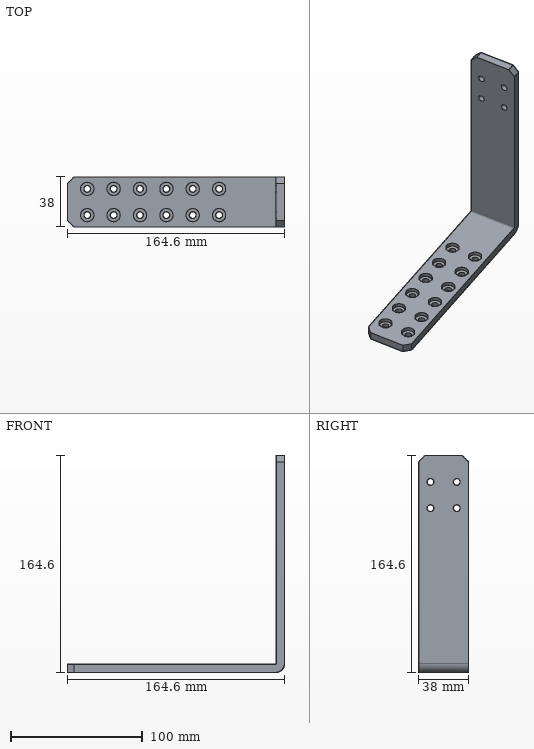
import cadquery as cq

leg_length = 164.6
width = 38.0
thickness = 6.5
inner_bend_radius = 0.5
corner_chamfer = 5.0

hole_diameter = 5.0
hole_pitch = 20.0

counterbore_diameter = 10.0
counterbore_depth = 3.0
base_hole_columns = 6
base_hole_span = 100.0
base_hole_margin = 15.0

upright_hole_rows = 2
upright_hole_margin = 20.1

outer_bend_radius = inner_bend_radius + thickness
upright_inner_x = leg_length - thickness


def bent_strip():
    """L-shaped strip with concentric inner and outer bends."""
    strip = (
        cq.Workplane("XZ")
        .moveTo(0, 0)
        .lineTo(leg_length - outer_bend_radius, 0)
        .radiusArc((leg_length, outer_bend_radius), -outer_bend_radius)
        .lineTo(leg_length, leg_length)
        .lineTo(upright_inner_x, leg_length)
        .lineTo(upright_inner_x, outer_bend_radius)
        .radiusArc((leg_length - outer_bend_radius, thickness), inner_bend_radius)
        .lineTo(0, thickness)
        .close()
        .extrude(width / 2, both=True)
    )
    strip = strip.faces("<X").edges("|Z").chamfer(corner_chamfer)
    return strip.faces(">Z").edges("|X").chamfer(corner_chamfer)


def base_holes():
    """Counterbored through holes, sunk from the upper face of the base."""
    column_pitch = base_hole_span / (base_hole_columns - 1)
    centers = [
        (base_hole_margin + column * column_pitch, side * hole_pitch / 2)
        for column in range(base_hole_columns)
        for side in (-1, 1)
    ]
    drills = cq.Workplane("XY").pushPoints(centers).circle(hole_diameter / 2).extrude(thickness)
    bores = (
        cq.Workplane("XY", origin=(0, 0, thickness - counterbore_depth))
        .pushPoints(centers)
        .circle(counterbore_diameter / 2)
        .extrude(counterbore_depth)
    )
    return drills.union(bores)


def upright_holes():
    """Plain through holes near the top of the upright."""
    centers = [
        (side * hole_pitch / 2, leg_length - upright_hole_margin - row * hole_pitch)
        for row in range(upright_hole_rows)
        for side in (-1, 1)
    ]
    return (
        cq.Workplane("YZ", origin=(upright_inner_x, 0, 0))
        .pushPoints(centers)
        .circle(hole_diameter / 2)
        .extrude(thickness)
    )


result = bent_strip().cut(base_holes()).cut(upright_holes())